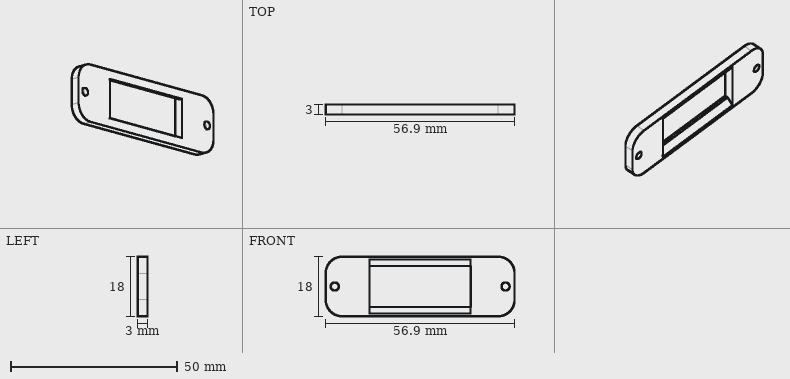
import cadquery as cq

length = 56.9
thickness = 3.0
height = 18.0
corner_radius = 5.0

window_length = 30.3
window_front_height = 16.3
window_back_height = 12.25
slope_depth = (window_front_height - window_back_height) / 2

hole_diameter = 2.4
hole_spacing = 51.4

front_y = -thickness / 2
back_y = thickness / 2


def make_plate():
    return (
        cq.Workplane("XZ")
        .box(length, height, thickness)
        .edges("|Y")
        .fillet(corner_radius)
    )


def make_window():
    """Solid to remove: a YZ profile extruded along the window's length."""
    front_half = window_front_height / 2
    back_half = window_back_height / 2
    slope_end_y = front_y + slope_depth
    profile = [
        (front_y, -front_half),
        (slope_end_y, -back_half),
        (back_y, -back_half),
        (back_y, back_half),
        (slope_end_y, back_half),
        (front_y, front_half),
    ]
    return cq.Workplane("YZ").polyline(profile).close().extrude(window_length / 2, both=True)


def make_screw_holes():
    return (
        cq.Workplane("XZ")
        .pushPoints([(side * hole_spacing / 2, 0) for side in (-1, 1)])
        .circle(hole_diameter / 2)
        .extrude(thickness, both=True)
    )


result = make_plate().cut(make_window()).cut(make_screw_holes())